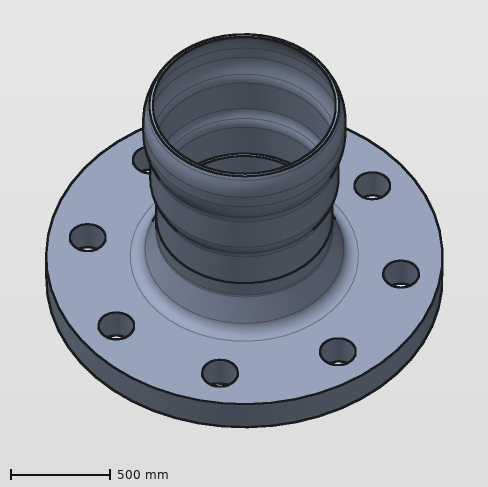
import cadquery as cq
import math

FLANGE_RADIUS = 2000 / 2
FACE_RADIUS = 692.0
FACE_HEIGHT = 28.0
FACE_FILLET = 50.0
PLATE_TOP = 205.0
FLANGE_BORE_RADIUS = 825.0 / 2

BOLT_COUNT = 8
BOLT_CIRCLE_RADIUS = 800
BOLT_DIAMETER = 180

WALL = 15.0
PIPE_RADIUS = 890.0 / 2
SLEEVE_RADIUS = 952.0 / 2
BULGE_RADIUS = 1022.0 / 2

HUB_TAPER = math.radians(21)
HUB_FOOT_FILLET = 80
HUB_NECK_FILLET = 35.0
HUB_TAPER_TOP = 408.0
JOINT_Z = 498.0

PIPE_END = 698.0
SLEEVE_START = 805.0
SLEEVE_END = 1000
BULGE_START = 1155.0
BULGE_END = 1225.0
LIP_START = 1330.0
PIPE_TOP = 1350.0

SLEEVE_FLARE = 42.0
BULGE_FLARE = 45.0



def arc_point(center, radius, angle):
    return (center[0] + radius * math.cos(angle), center[1] + radius * math.sin(angle))


def line_then_arc(profile, center, radius, start, end):
    """Run a line to the start of an arc, then follow the arc to its end angle."""
    profile = profile.lineTo(*arc_point(center, radius, start))
    middle = arc_point(center, radius, (start + end) / 2)
    return profile.threePointArc(middle, arc_point(center, radius, end))


def turn(profile):
    return profile.close().revolve(360, (0, 0, 0), (0, 1, 0))


def make_flange():
    neck_center = (PIPE_RADIUS + HUB_NECK_FILLET, HUB_TAPER_TOP)
    cone_top_radius, cone_top_z = arc_point(neck_center, HUB_NECK_FILLET, math.pi + HUB_TAPER)

    foot_center_z = PLATE_TOP + HUB_FOOT_FILLET
    cone_bottom_z = foot_center_z - HUB_FOOT_FILLET * math.sin(HUB_TAPER)
    cone_bottom_radius = cone_top_radius + (cone_top_z - cone_bottom_z) * math.tan(HUB_TAPER)
    foot_center = (cone_bottom_radius + HUB_FOOT_FILLET * math.cos(HUB_TAPER), foot_center_z)

    face_fillet_z = FACE_HEIGHT - FACE_FILLET
    face_fillet_start = math.asin(-face_fillet_z / FACE_FILLET)
    face_fillet_center = (FACE_RADIUS + FACE_FILLET * math.cos(face_fillet_start), face_fillet_z)

    profile = cq.Workplane("XZ").moveTo(FLANGE_BORE_RADIUS, 0)
    profile = line_then_arc(
        profile, face_fillet_center, FACE_FILLET, math.pi - face_fillet_start, math.pi / 2
    )
    profile = profile.lineTo(FLANGE_RADIUS, FACE_HEIGHT).lineTo(FLANGE_RADIUS, PLATE_TOP)
    profile = line_then_arc(profile, foot_center, HUB_FOOT_FILLET, 1.5 * math.pi, math.pi + HUB_TAPER)
    profile = line_then_arc(profile, neck_center, HUB_NECK_FILLET, math.pi + HUB_TAPER, math.pi)
    profile = profile.lineTo(PIPE_RADIUS, JOINT_Z).lineTo(FLANGE_BORE_RADIUS, JOINT_Z)

    bolt_holes = (
        cq.Workplane("XY")
        .polarArray(BOLT_CIRCLE_RADIUS, 0, 360, BOLT_COUNT)
        .circle(BOLT_DIAMETER / 2)
        .extrude(PLATE_TOP)
    )
    return turn(profile).cut(bolt_holes)


def add_widening(profile, inset, start, end, flare):
    """Add a concave then a convex arc between two outer (radius, Z) points, moved inward by the inset.

    Returns the profile and the outer radius of the convex arc.
    """
    angle = 2 * math.atan((end[0] - start[0]) / (end[1] - start[1]))
    concave_radius = flare / math.sin(angle)
    convex_radius = (end[1] - start[1] - flare) / math.sin(angle)
    concave_center = (start[0] + concave_radius, start[1])
    convex_center = (end[0] - convex_radius, end[1])
    profile = line_then_arc(profile, concave_center, concave_radius + inset, math.pi, math.pi - angle)
    middle = arc_point(convex_center, convex_radius - inset, -angle / 2)
    profile = profile.threePointArc(middle, (end[0] - inset, end[1]))
    return profile, convex_radius


def pipe_envelope(inset):
    """Solid of revolution inside the pipe's outer surface, moved inward by the inset."""
    profile = cq.Workplane("XZ").moveTo(0, JOINT_Z).lineTo(PIPE_RADIUS - inset, JOINT_Z)
    profile, _ = add_widening(
        profile, inset, (PIPE_RADIUS, PIPE_END), (SLEEVE_RADIUS, SLEEVE_START), SLEEVE_FLARE
    )
    profile, bulge_arc = add_widening(
        profile, inset, (SLEEVE_RADIUS, SLEEVE_END), (BULGE_RADIUS, BULGE_START), BULGE_FLARE
    )

    lip_angle = math.asin((LIP_START - BULGE_END) / bulge_arc)
    lip_center = (BULGE_RADIUS - bulge_arc, BULGE_END)
    profile = line_then_arc(profile, lip_center, bulge_arc - inset, 0, lip_angle)
    lip_radius, lip_z = arc_point(lip_center, bulge_arc - inset, lip_angle)
    rim_radius = lip_radius - (PIPE_TOP - lip_z) * math.tan(lip_angle)
    return turn(profile.lineTo(rim_radius, PIPE_TOP).lineTo(0, PIPE_TOP))


def make_pipe():
    return pipe_envelope(0).cut(pipe_envelope(WALL))


flange = make_flange()
pipe = make_pipe()

result = cq.Compound.makeCompound([flange.val(), pipe.val()])